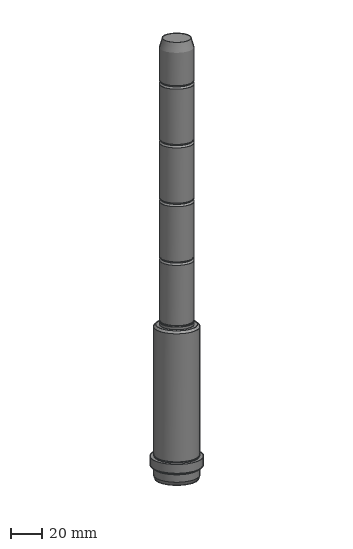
import cadquery as cq

TOTAL_HEIGHT = 300.0
SLEEVE_TOP = 105.0

SHAFT_RADIUS = 11.25
SLEEVE_RADIUS = 15.0
COLLAR_RADIUS = 17.25

TIP_RADIUS = 9.3
TIP_LENGTH = 6.5

SLEEVE_TOP_CHAMFER = 1.5
BOTTOM_CHAMFER_HEIGHT = 2.5
BOTTOM_CHAMFER_WIDTH = 1.0

COLLAR_BOTTOM = 8.5
COLLAR_TOP = 15.3
COLLAR_CHAMFER = 1.0

RELIEF_WIDTH = 1.0
SHAFT_RELIEF_OFFSET = 1.8
RELIEF_DEPTH = 0.3

GROOVE_COUNT = 4
FIRST_GROOVE_HEIGHT = 150.0
GROOVE_PITCH = 120 / 3
GROOVE_HALF_HEIGHT = 1.2
GROOVE_DEPTH = 1.05


def cylinder(radius, bottom, top):
    return cq.Workplane("XY").workplane(offset=bottom).circle(radius).extrude(top - bottom)


def ring_cut(radius, depth, bottom, height):
    """Ring that cuts a rectangular groove into a cylinder of the given radius."""
    outer = radius + depth
    return cq.Workplane("XY").workplane(offset=bottom).circle(outer).circle(radius - depth).extrude(height)


def v_groove(height):
    """Ring of triangular section whose tip points at the shaft axis."""
    section = cq.Workplane("XZ").polyline([
        (SHAFT_RADIUS, height - GROOVE_HALF_HEIGHT),
        (SHAFT_RADIUS - GROOVE_DEPTH, height),
        (SHAFT_RADIUS, height + GROOVE_HALF_HEIGHT),
    ]).close()
    return section.revolve(360, (0, 0, 0), (0, 1, 0))


def make_shaft():
    """Shaft with a tapered tip and evenly spaced V-shaped oil grooves."""
    shaft = cylinder(SHAFT_RADIUS, SLEEVE_TOP, TOTAL_HEIGHT)
    shaft = shaft.faces(">Z").chamfer(TIP_LENGTH, SHAFT_RADIUS - TIP_RADIUS)
    for index in range(GROOVE_COUNT):
        height = FIRST_GROOVE_HEIGHT + index * GROOVE_PITCH
        shaft = shaft.cut(v_groove(height))
    return shaft.cut(ring_cut(SHAFT_RADIUS, RELIEF_DEPTH, SLEEVE_TOP + SHAFT_RELIEF_OFFSET, RELIEF_WIDTH))


def make_sleeve():
    """Thick lower section, chamfered at both ends."""
    sleeve = cylinder(SLEEVE_RADIUS, 0, SLEEVE_TOP)
    sleeve = sleeve.faces(">Z").chamfer(SLEEVE_TOP_CHAMFER)
    sleeve = sleeve.faces("<Z").chamfer(BOTTOM_CHAMFER_HEIGHT, BOTTOM_CHAMFER_WIDTH)
    for bottom in (COLLAR_BOTTOM - RELIEF_WIDTH, COLLAR_TOP):
        sleeve = sleeve.cut(ring_cut(SLEEVE_RADIUS, RELIEF_DEPTH, bottom, RELIEF_WIDTH))
    return sleeve


def make_collar():
    """Collar with its lower rim chamfered."""
    collar = cylinder(COLLAR_RADIUS, COLLAR_BOTTOM, COLLAR_TOP)
    return collar.faces("<Z").chamfer(COLLAR_CHAMFER)


result = make_sleeve().union(make_collar()).union(make_shaft())